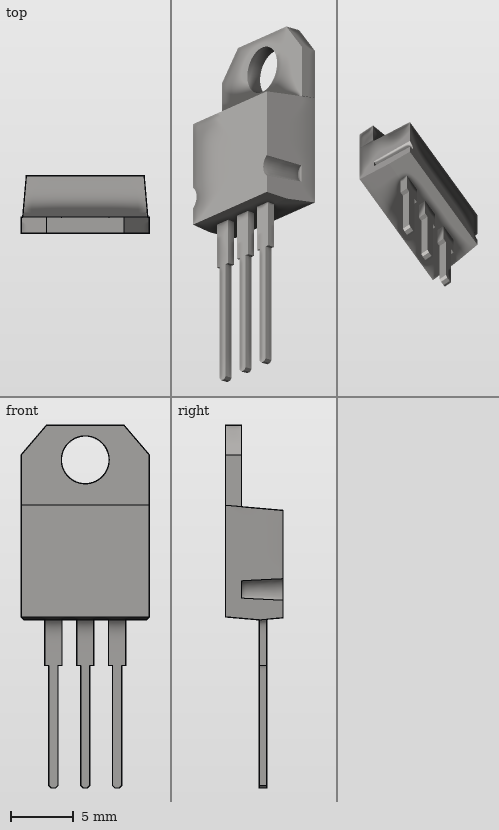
import cadquery as cq
import math

width = 10.2
depth = 4.6
total_height = 28.9
draft_slope = math.tan(math.radians(5))

housing_bottom = 13.6
housing_top = 22.5
notch_back_radius = 1.05
notch_center_x = 5.3
notch_center_z = 15.8

tab_thickness = 1.3
tab_corner_x = 2.02
tab_corner_z = 2.37
hole_diameter = 3.8
hole_drop = 2.77

lead_count = 3
lead_pitch = 2.55
lead_thickness = 0.6
lead_front = 2.7
lead_width = 0.75
shoulder_width = 1.4
shoulder_bottom = 9.75
tip_chamfer = 0.2

parting_z = housing_bottom - lead_front * draft_slope
back_bottom = parting_z + (depth - lead_front) * draft_slope
back_top = housing_top - depth * draft_slope
back_half_width = width / 2 - depth * draft_slope


def make_drafted_block():
    """Drafted block: side profile along X trimmed by a tapered plan."""
    profile = (
        cq.Workplane("YZ")
        .polyline([
            (0, housing_bottom),
            (0, housing_top),
            (depth, back_top),
            (depth, back_bottom),
            (lead_front, parting_z),
        ])
        .close()
        .extrude(width / 2, both=True)
    )
    plan = (
        cq.Workplane("XY")
        .polyline([
            (-width / 2, 0),
            (width / 2, 0),
            (back_half_width, depth),
            (-back_half_width, depth),
        ])
        .close()
        .extrude(total_height)
    )
    return profile.intersect(plan)


def cut_side_notches(body):
    """Tapered round grooves in both sides, widest at the back and ending level with the tab."""
    length = depth - tab_thickness
    front_radius = notch_back_radius - length * draft_slope
    for side in (-1, 1):
        notch = cq.Solid.makeCone(
            notch_back_radius,
            front_radius,
            length,
            pnt=cq.Vector(side * notch_center_x, depth, notch_center_z),
            dir=cq.Vector(0, -1, 0),
        )
        body = body.cut(cq.Workplane(notch))
    return body


def make_tab():
    """Plate with clipped corners and a mounting hole, seated on the sloping housing top."""
    tab_base = housing_top - tab_thickness * draft_slope
    plate = (
        cq.Workplane("XZ")
        .polyline([
            (-width / 2, tab_base),
            (width / 2, tab_base),
            (width / 2, total_height - tab_corner_z),
            (width / 2 - tab_corner_x, total_height),
            (tab_corner_x - width / 2, total_height),
            (-width / 2, total_height - tab_corner_z),
        ])
        .close()
        .extrude(-tab_thickness)
    )
    hole = (
        cq.Workplane("XZ")
        .center(0, total_height - hole_drop)
        .circle(hole_diameter / 2)
        .extrude(-tab_thickness)
    )
    foot = (
        cq.Workplane("YZ")
        .polyline([(0, tab_base), (0, housing_top), (tab_thickness, tab_base)])
        .close()
        .extrude(width / 2, both=True)
    )
    return plate.cut(hole).cut(foot)


def make_lead(center_x):
    """Flat stepped lead with a chamfered tip, its top fitted to the housing underside."""
    lead_half = lead_width / 2
    shoulder_half = shoulder_width / 2
    pin = (
        cq.Workplane("XZ", origin=(center_x, lead_front, 0))
        .polyline([
            (tip_chamfer - lead_half, 0),
            (lead_half - tip_chamfer, 0),
            (lead_half, tip_chamfer),
            (lead_half, shoulder_bottom),
            (-lead_half, shoulder_bottom),
            (-lead_half, tip_chamfer),
        ])
        .close()
        .extrude(-lead_thickness)
    )
    lead_back = lead_front + lead_thickness
    shoulder = (
        cq.Workplane("YZ", origin=(center_x, 0, 0))
        .polyline([
            (lead_front, shoulder_bottom),
            (lead_front, parting_z),
            (lead_back, parting_z + lead_thickness * draft_slope),
            (lead_back, shoulder_bottom),
        ])
        .close()
        .extrude(shoulder_half, both=True)
    )
    return pin.union(shoulder)


housing = cut_side_notches(make_drafted_block())
tab = make_tab()
leads = [make_lead((i - (lead_count - 1) / 2) * lead_pitch) for i in range(lead_count)]

result = cq.Compound.makeCompound([
    housing.val(),
    tab.val(),
    *[lead.val() for lead in leads],
])